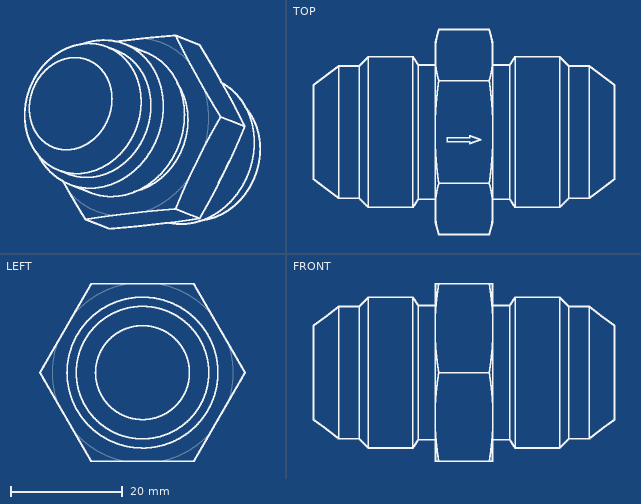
import cadquery as cq
import math

overall_length = 53.85
half_length = overall_length / 2

nose_tip_diameter = 16.8
nose_angle = 37.0
pilot_diameter = 23.7
pilot_shoulder_setback = 8.22

thread_diameter = 26.98
thread_lead_angle = 45.0
thread_end_setback = 17.8

relief_diameter = 24.05
thread_runout_angle = 57.0

hex_width = 10.2
hex_across_flats = 31.75
hex_across_corners = hex_across_flats / math.cos(math.radians(30))
hex_chamfer_diameter = 32.3
hex_chamfer_angle = 15.0

arrow_tail_x = -3.0
arrow_length = 6.0
arrow_head_length = 2.0
arrow_shaft_width = 0.7
arrow_head_width = 1.4
arrow_center_y = -1.35
arrow_depth = 0.1


def cone_length(large_diameter, small_diameter, angle):
    """Axial length of a cone whose side makes the given angle with its axis."""
    return (large_diameter - small_diameter) / 2 / math.tan(math.radians(angle))


def make_end():
    """Turned body from the mid plane out to the +X end face."""
    nose_base_x = half_length - cone_length(pilot_diameter, nose_tip_diameter, nose_angle)
    pilot_base_x = half_length - pilot_shoulder_setback
    thread_start_x = pilot_base_x - cone_length(thread_diameter, pilot_diameter, thread_lead_angle)
    thread_end_x = half_length - thread_end_setback
    relief_x = thread_end_x - cone_length(thread_diameter, relief_diameter, thread_runout_angle)
    profile = [
        (0, 0),
        (0, relief_diameter / 2),
        (relief_x, relief_diameter / 2),
        (thread_end_x, thread_diameter / 2),
        (thread_start_x, thread_diameter / 2),
        (pilot_base_x, pilot_diameter / 2),
        (nose_base_x, pilot_diameter / 2),
        (half_length, nose_tip_diameter / 2),
        (half_length, 0),
    ]
    return cq.Workplane("XY").polyline(profile).close().revolve(360, (0, 0), (1, 0))


def make_hexagon():
    """Hexagon with its corners chamfered on both end faces by a revolved envelope."""
    prism = (
        cq.Workplane("YZ")
        .polygon(6, hex_across_corners)
        .extrude(hex_width / 2, both=True)
    )
    half_width = hex_width / 2
    corner_radius = hex_across_corners / 2
    face_radius = hex_chamfer_diameter / 2
    chamfer_setback = (corner_radius - face_radius) * math.tan(math.radians(hex_chamfer_angle))
    envelope = (
        cq.Workplane("XY")
        .polyline([
            (-half_width, 0),
            (-half_width, face_radius),
            (chamfer_setback - half_width, corner_radius),
            (half_width - chamfer_setback, corner_radius),
            (half_width, face_radius),
            (half_width, 0),
        ])
        .close()
        .revolve(360, (0, 0), (1, 0))
    )
    return prism.intersect(envelope)


def make_arrow_cutter():
    """Arrow-shaped solid that sinks the flow mark into the top flat."""
    tip_x = arrow_tail_x + arrow_length
    head_base_x = tip_x - arrow_head_length
    shaft_half = arrow_shaft_width / 2
    head_half = arrow_head_width / 2
    outline = [
        (arrow_tail_x, -shaft_half),
        (head_base_x, -shaft_half),
        (head_base_x, -head_half),
        (tip_x, 0),
        (head_base_x, head_half),
        (head_base_x, shaft_half),
        (arrow_tail_x, shaft_half),
    ]
    return (
        cq.Workplane("XY", origin=(0, arrow_center_y, hex_across_flats / 2))
        .polyline(outline)
        .close()
        .extrude(-arrow_depth)
    )


right_end = make_end()
left_end = right_end.mirror("YZ")
body = make_hexagon().union(right_end).union(left_end)
result = body.cut(make_arrow_cutter())